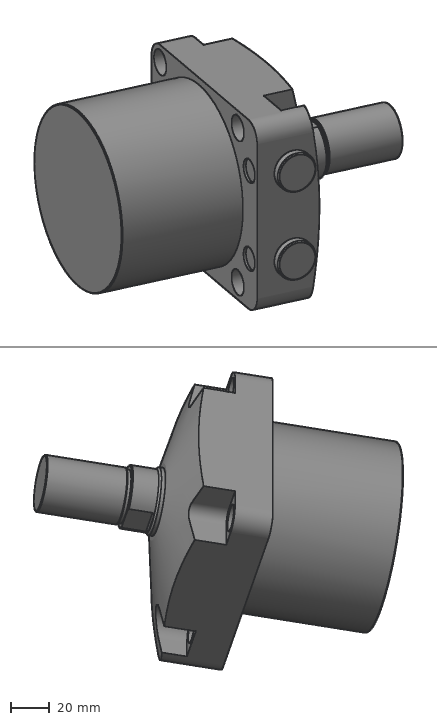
import cadquery as cq
import math


total_length = 180.5
barrel_length = 70.0
rod_tip_y = total_length - barrel_length

barrel_diameter = 100.0
barrel_chamfer = 0.5

flange_height = 108.0
flange_left = -flange_height / 2
flange_right = 66.0
flange_corner_radius = 10.0

cone_angle = 15
cone_side_y = 39.3
front_y = 48.4

hole_spacing = 88.0
hole_diameter = 14.0
seat_y = 20.0
seat_half_width = flange_height / 2 - hole_spacing / 2
corner_seat_radius = 6.0

port_spacing = 50.2
recess_x = 57.0
recess_diameter = 13.0
recess_depth = 1.5

collar_diameter = 35.7
collar_length = 3.2
rod_diameter = 33.4
across_flats = 30.0
flats_start_y = 52.7
runout_angle = 30
shoulder_y = 65.7
neck_diameter = 28.2
tip_diameter = 30.0
tip_start_y = 67.5
rod_chamfer = 0.5

plug_diameter = 22.0
plug_end_x = flange_left + 124.5
plug_y = 21.0
plug_chamfer = 0.7


def revolve_about_axis(half_profile):
    """Solid of revolution about Y from (radius, y) points that start and end on the axis."""
    return cq.Workplane("XY").polyline(half_profile).close().revolve(360, (0, 0, 0), (0, 1, 0))


def block(x_min, x_max, y_min, y_max, z_min, z_max):
    """Box between two opposite corners."""
    size = (x_max - x_min, y_max - y_min, z_max - z_min)
    return cq.Workplane("XY").box(*size, centered=False).translate((x_min, y_min, z_min))


def cylinder_along_y(diameter, x, z, y_min, y_max):
    """Round bar parallel to the piston axis."""
    axis_start = cq.Vector(x, y_min, z)
    bar = cq.Solid.makeCylinder(diameter / 2, y_max - y_min, axis_start, cq.Vector(0, 1, 0))
    return cq.Workplane("XY").newObject([bar])


def make_flange():
    """Rounded rectangular flange whose front is trimmed to a flat-nosed cone."""
    half_height = flange_height / 2
    plate = block(flange_left, flange_right, 0, front_y, -half_height, half_height)
    plate = plate.edges("|Y").fillet(flange_corner_radius)

    slope = math.tan(math.radians(cone_angle))
    nose_radius = half_height - (front_y - cone_side_y) / slope
    envelope_radius = math.hypot(flange_right, half_height) + 1.8
    envelope_side_y = cone_side_y - (envelope_radius - half_height) * slope
    envelope = revolve_about_axis([
        (0, 0),
        (envelope_radius, 0),
        (envelope_radius, envelope_side_y),
        (nose_radius, front_y),
        (0, front_y),
    ])
    return plate.intersect(envelope)


def make_corner_seat(side):
    """Pocket cut into a barrel-side corner, open to the -X side and to one Z side."""
    seat_width = 2 * seat_half_width
    outer_z = side * flange_height / 2
    inner_z = outer_z - side * seat_width
    z_min, z_max = sorted((outer_z, inner_z))
    pocket = block(flange_left, flange_left + seat_width, seat_y, front_y, z_min, z_max)
    inner_edge = ">X and <Z" if side > 0 else ">X and >Z"
    return pocket.edges("|Y").edges(inner_edge).fillet(corner_seat_radius)


def make_slot_seat(side):
    """Round-ended slot in front of a port-side hole, open to one Z side."""
    x = hole_spacing / 2
    hole_z = side * hole_spacing / 2
    z_min, z_max = sorted((hole_z, side * flange_height / 2))
    round_end = cylinder_along_y(2 * seat_half_width, x, hole_z, seat_y, front_y)
    mouth = block(x - seat_half_width, x + seat_half_width, seat_y, front_y, z_min, z_max)
    return round_end.union(mouth)


def make_housing():
    """Barrel and flange in one piece, with seats, mounting holes and port recesses."""
    barrel = cylinder_along_y(barrel_diameter, 0, 0, -barrel_length, 0)
    barrel = barrel.faces("<Y").chamfer(barrel_chamfer)
    housing = make_flange().union(barrel)
    for side in (-1, 1):
        housing = housing.cut(make_corner_seat(side))
        housing = housing.cut(make_slot_seat(side))
        for x in (-hole_spacing / 2, hole_spacing / 2):
            hole = cylinder_along_y(hole_diameter, x, side * hole_spacing / 2, 0, front_y)
            housing = housing.cut(hole)
        recess = cylinder_along_y(recess_diameter, recess_x, side * port_spacing / 2, 0, recess_depth)
        housing = housing.cut(recess)
    return housing


def make_flat_cutter(side):
    """Cutter for one wrench flat, with a sloping run-out that ends at the collar."""
    collar_end_y = front_y + collar_length
    flat_z = side * across_flats / 2
    outer_z = side * rod_diameter / 2
    runout_rise = (flats_start_y - collar_end_y) * math.tan(math.radians(runout_angle))
    section = [
        (flats_start_y, flat_z),
        (shoulder_y, flat_z),
        (shoulder_y, outer_z),
        (collar_end_y, outer_z),
        (collar_end_y, flat_z + side * runout_rise),
    ]
    return cq.Workplane("YZ").polyline(section).close().extrude(rod_diameter / 2, both=True)


def make_piston_rod():
    """Turned rod standing on the nose of the cone, with two wrench flats facing up and down."""
    collar_end_y = front_y + collar_length
    rod_radius = rod_diameter / 2
    collar_chamfer = collar_diameter / 2 - rod_radius
    tip_radius = tip_diameter / 2
    rod = revolve_about_axis([
        (0, front_y),
        (collar_diameter / 2, front_y),
        (collar_diameter / 2, collar_end_y - collar_chamfer),
        (rod_radius, collar_end_y),
        (rod_radius, shoulder_y - rod_chamfer),
        (rod_radius - rod_chamfer, shoulder_y),
        (neck_diameter / 2, shoulder_y),
        (neck_diameter / 2, tip_start_y),
        (tip_radius - rod_chamfer, tip_start_y),
        (tip_radius, tip_start_y + rod_chamfer),
        (tip_radius, rod_tip_y - rod_chamfer),
        (tip_radius - rod_chamfer, rod_tip_y),
        (0, rod_tip_y),
    ])
    for side in (-1, 1):
        rod = rod.cut(make_flat_cutter(side))
    return rod


def make_port_plug(z):
    """Round plug sitting on the port side of the flange."""
    plug_length = plug_end_x - flange_right
    axis_start = cq.Vector(flange_right, plug_y, z)
    disc = cq.Solid.makeCylinder(plug_diameter / 2, plug_length, axis_start, cq.Vector(1, 0, 0))
    return cq.Workplane("XY").newObject([disc]).faces(">X").chamfer(plug_chamfer)


housing = make_housing()
piston_rod = make_piston_rod()
port_plugs = [make_port_plug(side * port_spacing / 2) for side in (-1, 1)]

result = cq.Compound.makeCompound([
    housing.val(),
    piston_rod.val(),
    *[plug.val() for plug in port_plugs],
])